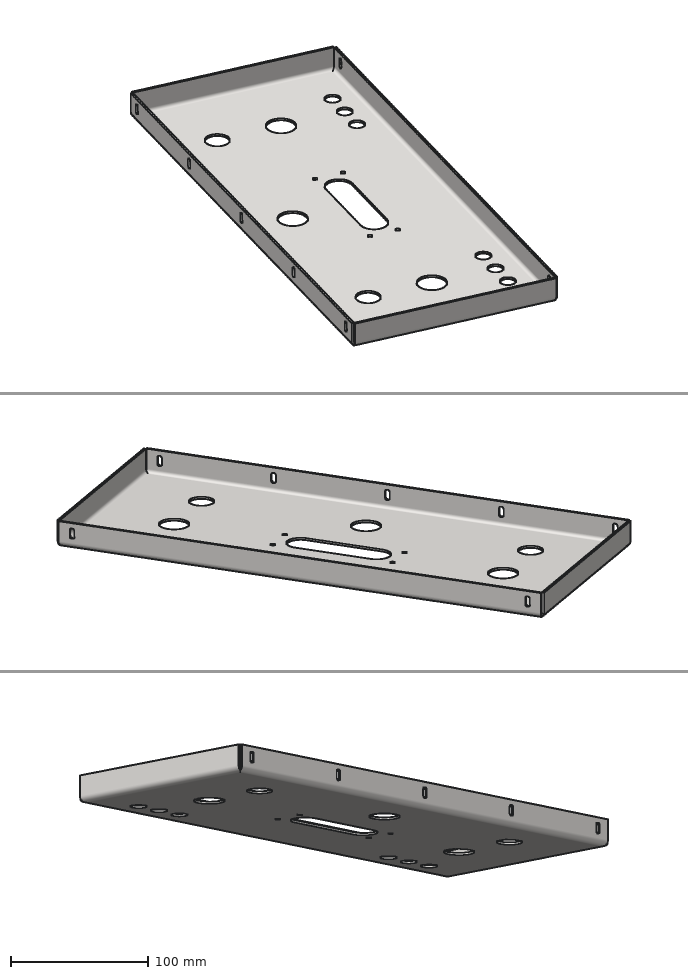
import cadquery as cq

length = 384.8
depth = 165.0
height = 20.0

sheet = 1.77
inner_bend = 2.7
outer_bend = inner_bend + sheet
corner_gap = 0.1

column_x = 130.0
cutout_y = 10.0
lower_row_y = -41.0
large_hole = 22.5
medium_hole = 18.5
small_hole = 12.0
small_pitch = 21.0
small_row_y = 61.0
window_length = 81.2
window_width = 21.0
screw_hole = 3.5
screw_spacing_x = 94.5
screw_spacing_y = 22.5

wall_slot_length = 8.0
wall_slot_width = 4.0
wall_slot_drop = 8.0
wall_slot_pitch = 90.0
wall_slot_steps = 2


def rounded_block(size_x, size_y, bottom, bend):
    """Block from bottom up to the rim, with folds along its lower edges that meet in mitres."""
    block_height = height - bottom
    middle_z = bottom + block_height / 2
    along_x = cq.Workplane("XY").box(size_x, size_y, block_height).edges("|X and <Z").fillet(bend)
    along_y = cq.Workplane("XY").box(size_x, size_y, block_height).edges("|Y and <Z").fillet(bend)
    return along_x.intersect(along_y).translate((0, 0, middle_z))


def folded_tray():
    """Floor with four turned-up walls, open at the top and relieved at the corners."""
    outside = rounded_block(length, depth, 0, outer_bend)
    inside = rounded_block(length - 2 * sheet, depth - 2 * sheet, sheet, inner_bend)
    relief_side = 2 * (sheet + corner_gap)
    reliefs = (
        cq.Workplane("XY")
        .rect(length, depth, forConstruction=True)
        .vertices()
        .rect(relief_side, relief_side)
        .extrude(height)
    )
    return outside.cut(inside).cut(reliefs)


def floor_holes(centres, diameter):
    """Round cutters through the floor."""
    return cq.Workplane("XY").pushPoints(centres).circle(diameter / 2).extrude(sheet)


def floor_window():
    """Round-ended window with a screw hole near each corner."""
    window = cq.Workplane("XY").center(0, cutout_y).slot2D(window_length, window_width).extrude(sheet)
    screws = (
        cq.Workplane("XY")
        .center(0, cutout_y)
        .rect(screw_spacing_x, screw_spacing_y, forConstruction=True)
        .vertices()
        .circle(screw_hole / 2)
        .extrude(sheet)
    )
    return window.union(screws)


def wall_slots(steps, wall_y):
    """Upright slot cutters through the long wall whose outer face is at wall_y."""
    centres = [(step * wall_slot_pitch, height - wall_slot_drop) for step in steps]
    return (
        cq.Workplane("XZ", origin=(0, wall_y, 0))
        .pushPoints(centres)
        .slot2D(wall_slot_length, wall_slot_width, 90)
        .extrude(sheet, both=True)
    )


large_centres = [(-column_x, cutout_y), (column_x, cutout_y), (0, lower_row_y)]
medium_centres = [(-column_x, lower_row_y), (column_x, lower_row_y)]
small_centres = [
    (side * column_x + step * small_pitch, small_row_y)
    for side in (-1, 1)
    for step in (-1, 0, 1)
]

front_steps = range(-wall_slot_steps, wall_slot_steps + 1)
back_steps = (-wall_slot_steps, wall_slot_steps)

result = (
    folded_tray()
    .cut(floor_holes(large_centres, large_hole))
    .cut(floor_holes(medium_centres, medium_hole))
    .cut(floor_holes(small_centres, small_hole))
    .cut(floor_window())
    .cut(wall_slots(front_steps, -depth / 2))
    .cut(wall_slots(back_steps, depth / 2))
)